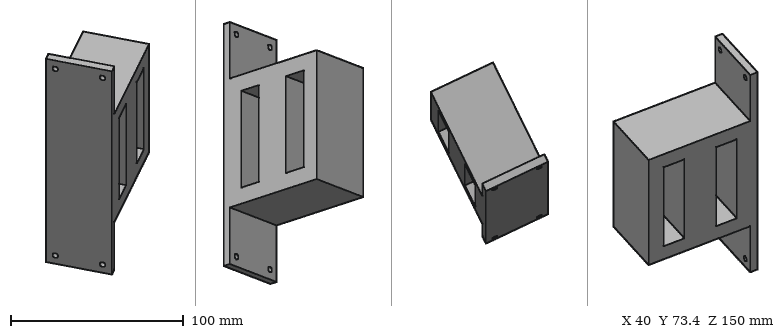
import cadquery as cq

width = 40.0
plate_height = 150.0
plate_thickness = 5.0

total_depth = 73.4
block_height = 80.0

window_depth = 14.0
window_height = 60.0
rear_wall = 10.2
window_pitch = 35.2

hole_diameter = 3.3
hole_spacing_x = 28.6
hole_spacing_z = 137.7

rear_window_y = total_depth - rear_wall - window_depth / 2
front_window_y = rear_window_y - window_pitch


def centred_box(depth, height, centre_y):
    """Full-width box centred in X and Z."""
    return cq.Workplane("XY").box(width, depth, height).translate((0, centre_y, 0))


plate = centred_box(plate_thickness, plate_height, plate_thickness / 2)
block = centred_box(total_depth, block_height, total_depth / 2)
result = plate.union(block)

for window_y in (front_window_y, rear_window_y):
    result = result.cut(centred_box(window_depth, window_height, window_y))

screw_holes = (
    cq.Workplane("XZ")
    .rarray(hole_spacing_x, hole_spacing_z, 2, 2)
    .circle(hole_diameter / 2)
    .extrude(-plate_thickness)
)
result = result.cut(screw_holes)